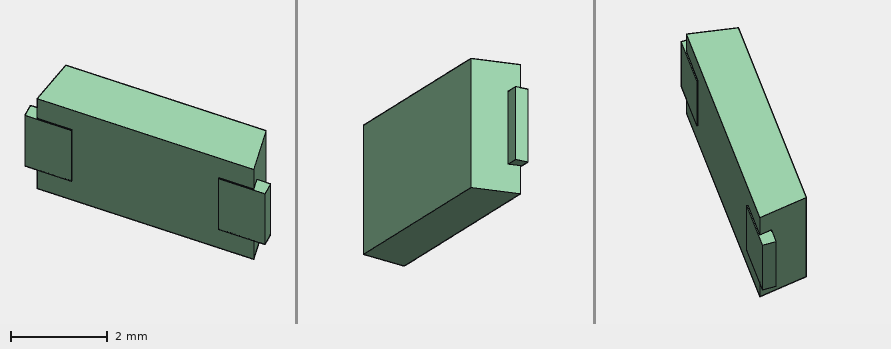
import cadquery as cq

total_length = 5.4
total_depth = 1.1
body_height = 2.85

standoff = 0.025
front_length = 4.87
back_length = 4.505

terminal_length = 1.05
terminal_height = 1.61
terminal_thickness = 0.295


def make_body():
    """Trapezoid in the XY plane, extruded symmetrically along Z."""
    outline = [
        (-front_length / 2, standoff),
        (front_length / 2, standoff),
        (back_length / 2, total_depth),
        (-back_length / 2, total_depth),
    ]
    return cq.Workplane("XY").polyline(outline).close().extrude(body_height / 2, both=True)


def make_terminal(side):
    """Terminal block at one end of the package; side is -1 or +1 along X."""
    center_x = side * (total_length - terminal_length) / 2
    return (
        cq.Workplane("XY")
        .box(terminal_length, terminal_thickness, terminal_height)
        .translate((center_x, terminal_thickness / 2, 0))
    )


result = make_body()
for side in (-1, 1):
    result = result.union(make_terminal(side))